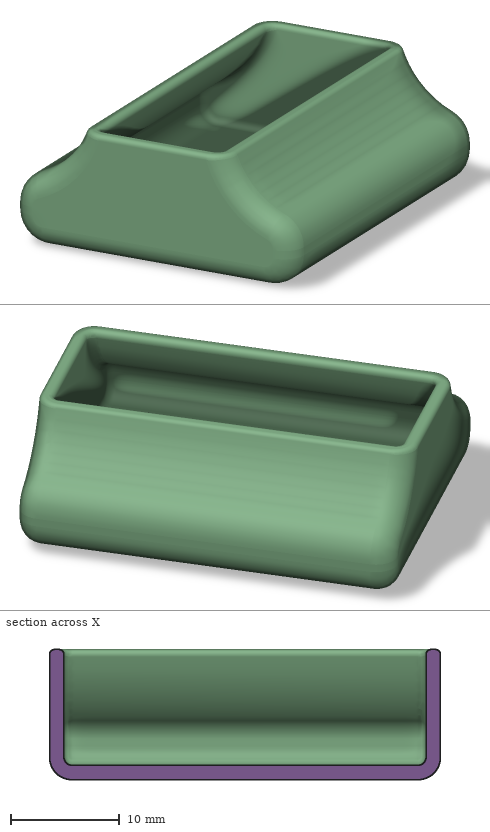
import cadquery as cq
import math

length = 36.0
width = 29.3
height = 12.02
foot_radius = 3.1
foot_flat = 0.8
flank_radius = 8.65
flank_tilt = 21.0
end_radius = 2.1
wall = 1.35
rim_radius = 0.5


def on_circle(center, radius, angle):
    """Point on a circle in the XZ section, angle in degrees from +X."""
    a = math.radians(angle)
    return (center[0] + radius * math.cos(a), center[1] + radius * math.sin(a))


def mirrored(point):
    return (-point[0], point[1])


def make_body(inset):
    """Solid with rounded ends, its skin moved inward by inset; the top stays level."""
    half_width = width / 2 - inset
    half_length = length / 2 - inset
    foot = foot_radius - inset
    flank = flank_radius + inset
    edge = end_radius - inset

    center_x = width / 2 - foot_radius
    low_center = (center_x, foot_radius)
    high_center = (center_x, foot_radius + foot_flat)
    join_angle = 90 - flank_tilt
    flank_center = on_circle(high_center, foot_radius + flank_radius, join_angle)

    join = on_circle(high_center, foot, join_angle)
    top_angle = 180 + math.degrees(math.asin((flank_center[1] - height) / flank))
    top = on_circle(flank_center, flank, top_angle)
    flank_mid = on_circle(flank_center, flank, (top_angle + 180 + join_angle) / 2)
    high_mid = on_circle(high_center, foot, join_angle / 2)
    low_mid = on_circle(low_center, foot, -45)
    high_side = (half_width, high_center[1])
    low_side = (half_width, low_center[1])
    bottom = (center_x, inset)

    body = (
        cq.Workplane("XZ", origin=(0, half_length, 0))
        .moveTo(*mirrored(bottom))
        .lineTo(*bottom)
        .threePointArc(low_mid, low_side)
        .lineTo(*high_side)
        .threePointArc(high_mid, join)
        .threePointArc(flank_mid, top)
        .lineTo(*mirrored(top))
        .threePointArc(mirrored(flank_mid), mirrored(join))
        .threePointArc(mirrored(high_mid), mirrored(high_side))
        .lineTo(*mirrored(low_side))
        .threePointArc(mirrored(low_mid), mirrored(bottom))
        .close()
        .extrude(2 * half_length)
    )
    end_edges = body.faces("<Y or >Y").edges()
    return end_edges.filter(lambda e: e.Center().z < height - rim_radius).fillet(edge)


tray = make_body(0).cut(make_body(wall))

result = tray.faces(">Z").edges().fillet(rim_radius)